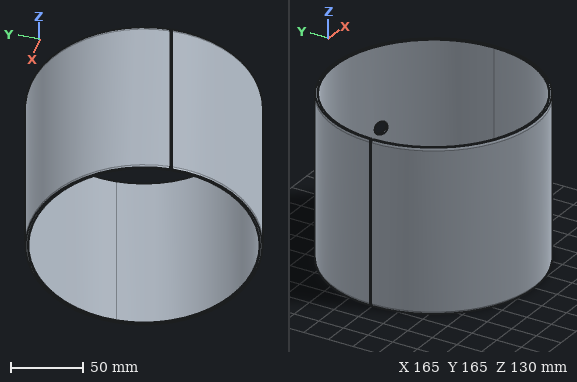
import cadquery as cq

outer_diameter = 165.0
height = 130.0
wall = 2.5
chamfer_height = 2.0
chamfer_depth = 0.5
inner_chamfer = 0.5
slit_width = 1.5
hole_diameter = 10.0
hole_angle = 58.5

outer_radius = outer_diameter / 2
inner_radius = outer_radius - wall


def make_sleeve():
    """Revolve the wall section, with slender outer and small 45 degree inner edge chamfers."""
    end_radius = outer_radius - chamfer_depth
    section = [
        (inner_radius, inner_chamfer),
        (inner_radius + inner_chamfer, 0),
        (end_radius, 0),
        (outer_radius, chamfer_height),
        (outer_radius, height - chamfer_height),
        (end_radius, height),
        (inner_radius + inner_chamfer, height),
        (inner_radius, height - inner_chamfer),
    ]
    return cq.Workplane("XZ").polyline(section).close().revolve(360, (0, 0, 0), (0, 1, 0))


def make_slit():
    """Full-height cutter on the -X side, with one face on the XZ plane."""
    return cq.Workplane("XY").box(outer_diameter, slit_width, height, centered=False).translate(
        (-outer_diameter, 0, 0)
    )


def make_hole():
    """Radial cutter at mid height that crosses one wall only."""
    return (
        cq.Workplane("YZ")
        .circle(hole_diameter / 2)
        .extrude(outer_diameter)
        .rotate((0, 0, 0), (0, 0, 1), hole_angle)
        .translate((0, 0, height / 2))
    )


result = make_sleeve().cut(make_slit()).cut(make_hole())